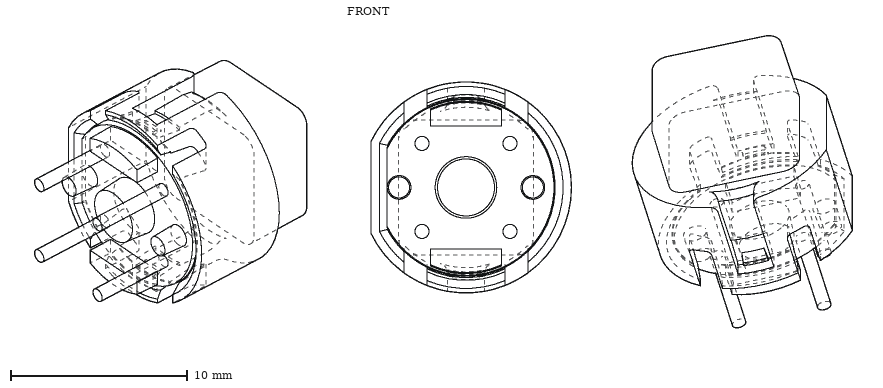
import cadquery as cq
import math


housing_radius = 6.0
housing_length = 5.9
flat_x = -5.4

plug_front_y = 0.2
plug_flat_x = -4.48
plug_front_radius = 5.0
barb_radius = 5.05
barb_y = 1.0
plug_neck_radius = 4.8
cutout_rear_y = 2.7

rim_width = 0.48
rim_slope_run = 0.45
rim_slope_depth = 0.5

slot_width = 1.3
slot_offset = 2.87
slot_corner_radius = 0.3

lip_edge_radius = 5.74
lip_inner_radius = 5.28
lip_edge_depth = 0.24
lip_root_radius = 5.12

window_width = 2.1
window_front_y = barb_y
window_flare_radius = 0.4
bump_front_radius = 5.0
bump_crest_radius = 5.08
bump_crest_y = 4.8
bump_rear_radius = 4.96
bump_rear_y = 5.5

tab_front_width = 1.46
tab_rear_width = 1.3
tab_crest_y = 1.2
tab_rear_y = 1.7
tab_height_radius = 5.25

cap_width = 7.68
cap_length = 4.22
cap_corner_radius = 1.0
cap_edge_radius = 0.3
cap_draft = 0.6

pin_diameter = 0.8
pin_offset = 2.5
pin_tip_y = -4.8
foot_tip_y = -1.37
boss_root_diameter = 3.5
boss_tip_diameter = 3.24
peg_root_diameter = 1.35
peg_tip_diameter = 1.2
peg_offset = 3.8
foot_width = 4.02
foot_inner_z = 3.5
foot_root_radius = 4.9
foot_tip_radius = 4.84

embed = 0.5


def revolve_about_y(points):
    return cq.Workplane("XY").polyline(points).close().revolve(360, (0, 0), (0, 1))


def tapered_post(root_diameter, tip_diameter, x=0.0, z=0.0):
    """Round post from the plug front to the feet plane, with a straight root inside the plug."""
    root_radius = root_diameter / 2
    profile = [
        (0, foot_tip_y),
        (tip_diameter / 2, foot_tip_y),
        (root_radius, plug_front_y),
        (root_radius, plug_front_y + embed),
        (0, plug_front_y + embed),
    ]
    return revolve_about_y(profile).translate((x, 0, z))


def box_between(x0, x1, y0, y1, z0, z1):
    return cq.Workplane("XY").box(x1 - x0, y1 - y0, z1 - z0, centered=False).translate((x0, y0, z0))


def flatted_disc(radius, flat, length, taper=0.0):
    """Disc with a flat on -X, from Y = 0 towards +Y."""
    half_flat = math.sqrt(radius**2 - flat**2)
    outline = (
        cq.Workplane("XZ")
        .moveTo(flat, -half_flat)
        .threePointArc((radius, 0), (flat, half_flat))
        .close()
    )
    return outline.extrude(-length, taper=taper)


def make_plug():
    plug = revolve_about_y([
        (0, plug_front_y),
        (plug_front_radius, plug_front_y),
        (barb_radius, barb_y),
        (plug_neck_radius, cutout_rear_y),
        (0, cutout_rear_y),
    ])
    keep = box_between(
        plug_flat_x, housing_radius, plug_front_y, cutout_rear_y, -housing_radius, housing_radius
    )
    return plug.intersect(keep)


def lip_sector():
    """Block that bounds the lips, as wide as the space between the slot centres."""
    return box_between(-slot_offset, slot_offset, 0, barb_y, -housing_radius, housing_radius)


def make_rim_relief(plug):
    """Space between the plug and the sloped walls on both outer sides of the slots."""
    slope_angle = math.degrees(math.atan2(rim_slope_run, rim_slope_depth))
    cavity = flatted_disc(housing_radius - rim_width, flat_x + rim_width, rim_slope_depth, slope_angle)
    return cavity.cut(lip_sector()).cut(plug)


def make_lip_relief(plug):
    """Space between the plug and the thin lips, limited to the width between the slots."""
    cavity = revolve_about_y([
        (0, 0),
        (lip_edge_radius, 0),
        (lip_inner_radius, lip_edge_depth),
        (lip_root_radius, barb_y),
        (0, barb_y),
    ])
    return cavity.intersect(lip_sector()).cut(plug)


def make_slot(x, plug):
    slot = box_between(
        x - slot_width / 2, x + slot_width / 2, 0, cutout_rear_y, -housing_radius, housing_radius
    )
    return slot.edges("|Z and >Y").fillet(slot_corner_radius).cut(plug)


def make_window(plug):
    """Through-slot with a flared rear mouth, less the stepped floor that stays behind."""
    half = window_width / 2
    flare = window_flare_radius
    arc_reach = flare * (1 - math.sqrt(0.5))
    flare_y = housing_length - flare
    window = (
        cq.Workplane("XY", origin=(0, 0, -housing_radius))
        .moveTo(-half, window_front_y)
        .lineTo(half, window_front_y)
        .lineTo(half, flare_y)
        .threePointArc((half + arc_reach, housing_length - arc_reach), (half + flare, housing_length))
        .lineTo(-half - flare, housing_length)
        .threePointArc((-half - arc_reach, housing_length - arc_reach), (-half, flare_y))
        .close()
        .extrude(2 * housing_radius)
    )
    bump = revolve_about_y([
        (0, cutout_rear_y),
        (bump_front_radius, cutout_rear_y),
        (bump_crest_radius, bump_crest_y),
        (bump_rear_radius, bump_rear_y),
        (bump_rear_radius - (housing_length - bump_rear_y), housing_length),
        (0, housing_length),
    ])
    return window.cut(plug).cut(bump)


def make_snap_tabs():
    """Ramped tabs joined to the front wall of the windows, top and bottom in one body."""
    outline = (
        cq.Workplane("XY", origin=(0, 0, -housing_radius))
        .polyline([
            (-tab_front_width / 2, window_front_y),
            (tab_front_width / 2, window_front_y),
            (tab_rear_width / 2, tab_rear_y),
            (-tab_rear_width / 2, tab_rear_y),
        ])
        .close()
        .extrude(2 * housing_radius)
    )
    neck_slope = (barb_radius - plug_neck_radius) / (cutout_rear_y - barb_y)
    ramp_end_radius = barb_radius - neck_slope * (tab_rear_y - barb_y)
    ramp = revolve_about_y([
        (0, window_front_y),
        (tab_height_radius, window_front_y),
        (tab_height_radius, tab_crest_y),
        (ramp_end_radius, tab_rear_y),
        (0, tab_rear_y),
    ])
    return outline.intersect(ramp)


def make_cap():
    cap = (
        cq.Workplane("XZ", origin=(0, housing_length, 0))
        .sketch()
        .rect(cap_width, cap_width)
        .vertices()
        .fillet(cap_corner_radius)
        .finalize()
        .extrude(-cap_length, taper=cap_draft)
    )
    return cap.faces(">Y").edges().fillet(cap_edge_radius)


def make_pin(x, z):
    pin = cq.Workplane("XZ", origin=(x, pin_tip_y, z)).circle(pin_diameter / 2)
    return pin.extrude(pin_tip_y - plug_front_y - embed)


def make_segment_feet():
    """Top and bottom feet: slices of a slightly tapered disc with a flat inner side."""
    disc = revolve_about_y([
        (0, foot_tip_y),
        (foot_tip_radius, foot_tip_y),
        (foot_root_radius, plug_front_y),
        (foot_root_radius, plug_front_y + embed),
        (0, plug_front_y + embed),
    ])
    half = foot_width / 2
    rear_y = plug_front_y + embed
    top = box_between(-half, half, foot_tip_y, rear_y, foot_inner_z, housing_radius)
    return disc.intersect(top.union(top.mirror("XY")))


plug = make_plug()
result = flatted_disc(housing_radius, flat_x, housing_length)
result = result.cut(make_rim_relief(plug))
result = result.cut(make_lip_relief(plug))
for slot_x in (-slot_offset, slot_offset):
    result = result.cut(make_slot(slot_x, plug))
result = result.cut(make_window(plug))
result = result.union(make_snap_tabs())
result = result.union(make_cap())
result = result.union(make_segment_feet())
result = result.union(tapered_post(boss_root_diameter, boss_tip_diameter))
for side in (-1, 1):
    result = result.union(tapered_post(peg_root_diameter, peg_tip_diameter, x=side * peg_offset))
    for level in (-1, 1):
        result = result.union(make_pin(side * pin_offset, level * pin_offset))